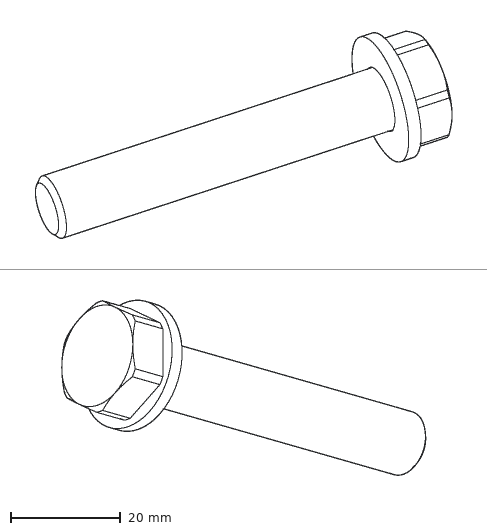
import cadquery as cq
import math

shank_diameter = 12.0
shank_length = 70.0
tip_diameter = 9.85
tip_chamfer = (shank_diameter - tip_diameter) / 2

head_height = 7.5
hexagon_sides = 6
across_flats = 19.0
across_corners = across_flats / math.cos(math.pi / hexagon_sides)
corner_circle_diameter = 21.1
crown_angle = math.radians(30)

washer_diameter = 24.0
washer_thickness = 2.5
washer_hole_diameter = 12.3


def disc(diameter, start_y, length):
    """Cylinder about the Y axis, from start_y toward +Y."""
    plane = cq.Workplane("XZ", origin=(0, start_y, 0))
    return plane.circle(diameter / 2).extrude(-length)


def make_head_blank():
    """Turned blank that truncates the hexagon corners and bevels its crown."""
    flat_radius = across_flats / 2
    corner_radius = corner_circle_diameter / 2
    bevel_drop = (corner_radius - flat_radius) * math.tan(crown_angle)
    profile = (
        cq.Workplane("XY")
        .moveTo(0, 0)
        .lineTo(corner_radius, 0)
        .lineTo(corner_radius, head_height - bevel_drop)
        .lineTo(flat_radius, head_height)
        .lineTo(0, head_height)
        .close()
    )
    return profile.revolve(360, (0, 0, 0), (0, 1, 0))


def make_head():
    """Hexagon with flats facing +X and -X, corners turned down to a cylinder."""
    hexagon = (
        cq.Workplane("XZ")
        .transformed(rotate=(0, 0, 90))
        .polygon(hexagon_sides, across_corners)
        .extrude(-head_height)
    )
    return hexagon.intersect(make_head_blank())


def make_bolt():
    """Head and shank as one solid, with a chamfered tip."""
    shank = disc(shank_diameter, -shank_length, shank_length)
    shank = shank.faces("<Y").chamfer(tip_chamfer)
    return make_head().union(shank)


def make_washer():
    """Plain ring under the head, with clearance around the shank."""
    ring = disc(washer_diameter, -washer_thickness, washer_thickness)
    hole = disc(washer_hole_diameter, -washer_thickness, washer_thickness)
    return ring.cut(hole)


bolt = make_bolt()
washer = make_washer()

result = cq.Compound.makeCompound([bolt.val(), washer.val()])